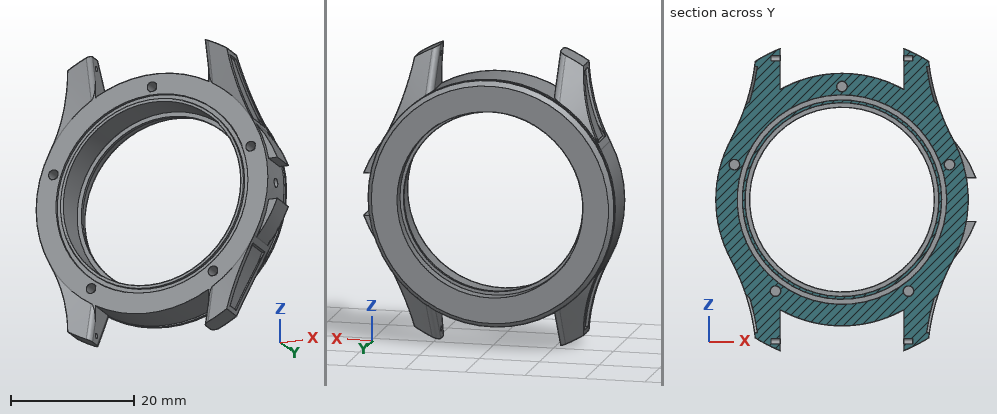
import cadquery as cq
import math

CASE_RADIUS = 20.5
BODY_DEPTH = 6.6
GROOVE_BOTTOM_RADIUS = 20.0
RIM_FRONT = 7.15
RIM_CHAMFER = 0.75
CASE_DEPTH = 8.4

SEAL_GROOVE_OUTER_RADIUS = 17.0
SEAL_GROOVE_INNER_RADIUS = 16.2
SEAL_GROOVE_DEPTH = 0.5
BORE_RADIUS = 15.7
LIP_RADIUS = 14.95
LIP_FRONT = 5.65
LIP_THICKNESS = 0.6
REAR_SEAT_RADIUS = 15.5

LUG_INNER_X = 10.0
LUG_TIP_RADIUS = 26.5
LUG_TIP_FRONT = -1.95
LUG_TIP_BACK = 2.05
LUG_TANGENT_Z = 9.7
LUG_OUTER_TIP_X = 14.1
LUG_EDGE_RADIUS = 0.9
LUG_ROOT_RADIUS = 17.65

POCKET_MARGIN = 0.95
POCKET_DEPTH = 0.45
POCKET_Z_MIN = 10.75
POCKET_Z_MAX = 21.6

BAR_HOLE_RADIUS = 0.4
BAR_HOLE_DEPTH = 1.45
BAR_HOLE_Y = 0.45
BAR_HOLE_Z = 22.95

GUARD_TIP_X = 21.75
GUARD_TIP_Z = 3.55
GUARD_MID = (20.6, 6.0)
GUARD_ROOT_Z = LUG_TANGENT_Z
GUARD_FRONT = 1.05
GUARD_BACK = 5.55
CROWN_HOLE_RADIUS = 0.75
CROWN_HOLE_Y = (GUARD_FRONT + GUARD_BACK) / 2

SCREW_COUNT = 5
SCREW_HOLE_RADIUS = 0.85
SCREW_CIRCLE_RADIUS = 18.35
SCREW_HOLE_DEPTH = 2.95


def turned(profile):
    """Revolve a closed (radius, y) profile about the Y axis."""
    return cq.Workplane("XY").polyline(profile).close().revolve(360, (0, 0, 0), (0, 1, 0))


def height_on_circle(radius, offset):
    """Other coordinate of the point on a circle at the given offset."""
    return math.sqrt(radius**2 - offset**2)


def plan_sketch(y):
    """Workplane in X and Z at level y; it extrudes towards -Y."""
    return cq.Workplane("XZ", origin=(0, y, 0))


def four_corners(solid):
    """Copies of a +X +Z solid in the four quadrants."""
    lower = solid.mirror("XY")
    return [solid, solid.mirror("YZ"), lower, lower.mirror("YZ")]


def make_ring():
    lip_back = LIP_FRONT + LIP_THICKNESS
    return turned([
        (SEAL_GROOVE_OUTER_RADIUS, 0),
        (CASE_RADIUS, 0),
        (CASE_RADIUS, BODY_DEPTH),
        (GROOVE_BOTTOM_RADIUS, BODY_DEPTH),
        (GROOVE_BOTTOM_RADIUS, RIM_FRONT),
        (CASE_RADIUS, RIM_FRONT),
        (CASE_RADIUS, CASE_DEPTH - RIM_CHAMFER),
        (CASE_RADIUS - RIM_CHAMFER, CASE_DEPTH),
        (REAR_SEAT_RADIUS, CASE_DEPTH),
        (REAR_SEAT_RADIUS, lip_back),
        (LIP_RADIUS, lip_back),
        (LIP_RADIUS, LIP_FRONT),
        (BORE_RADIUS, LIP_FRONT),
        (BORE_RADIUS, 0),
        (SEAL_GROOVE_INNER_RADIUS, 0),
        (SEAL_GROOVE_INNER_RADIUS, SEAL_GROOVE_DEPTH),
        (SEAL_GROOVE_OUTER_RADIUS, SEAL_GROOVE_DEPTH),
    ])


def lug_cones(margin=0):
    """Turned blank holding all four lugs, thinned by margin on both faces."""
    return turned([
        (LUG_ROOT_RADIUS, margin),
        (CASE_RADIUS, margin),
        (LUG_TIP_RADIUS, LUG_TIP_FRONT + margin),
        (LUG_TIP_RADIUS, LUG_TIP_BACK - margin),
        (CASE_RADIUS, BODY_DEPTH - margin),
        (LUG_ROOT_RADIUS, BODY_DEPTH - margin),
    ])


def lug_side_arc():
    """Tangent point, tip corner, centre and radius of the concave side arc of a lug.

    The arc touches the ring from outside, so its centre lies on the ring radius
    through the tangent point.
    """
    tangent_point = cq.Vector(height_on_circle(CASE_RADIUS, LUG_TANGENT_Z), LUG_TANGENT_Z)
    corner = cq.Vector(LUG_OUTER_TIP_X, height_on_circle(LUG_TIP_RADIUS, LUG_OUTER_TIP_X))
    outwards = tangent_point.normalized()
    chord = corner - tangent_point
    radius = chord.dot(chord) / (2 * chord.dot(outwards))
    centre = tangent_point + outwards * radius
    return tangent_point, corner, centre, radius


def lug_plan():
    """Plan prism of the +X +Z lug."""
    tangent_point, corner, centre, radius = lug_side_arc()
    chord_middle = (tangent_point + corner) * 0.5
    arc_middle = centre + (chord_middle - centre).normalized() * radius
    return (
        plan_sketch(BODY_DEPTH)
        .moveTo(LUG_INNER_X, LUG_TANGENT_Z)
        .lineTo(tangent_point.x, tangent_point.y)
        .threePointArc((arc_middle.x, arc_middle.y), (corner.x, corner.y))
        .lineTo(LUG_OUTER_TIP_X, LUG_TIP_RADIUS)
        .lineTo(LUG_INNER_X, LUG_TIP_RADIUS)
        .close()
        .extrude(BODY_DEPTH - LUG_TIP_FRONT)
    )


def lug_pocket():
    """Shallow recess in the curved side, with a floor parallel to that side."""
    _, _, centre, radius = lug_side_arc()
    band = (
        plan_sketch(BODY_DEPTH)
        .moveTo(LUG_INNER_X, POCKET_Z_MIN)
        .lineTo(CASE_RADIUS, POCKET_Z_MIN)
        .lineTo(CASE_RADIUS, POCKET_Z_MAX)
        .lineTo(LUG_INNER_X, POCKET_Z_MAX)
        .close()
        .extrude(BODY_DEPTH - LUG_TIP_FRONT)
    )
    floor = (
        plan_sketch(BODY_DEPTH)
        .center(centre.x, centre.y)
        .circle(radius + POCKET_DEPTH)
        .extrude(BODY_DEPTH - LUG_TIP_FRONT)
    )
    return lug_cones(POCKET_MARGIN).intersect(band).intersect(floor)


def bar_hole():
    """Blind spring-bar hole in the inner side of the lug."""
    return (
        cq.Workplane("YZ", origin=(LUG_INNER_X, BAR_HOLE_Y, BAR_HOLE_Z))
        .circle(BAR_HOLE_RADIUS)
        .extrude(BAR_HOLE_DEPTH)
    )


def make_lug():
    return (
        lug_cones()
        .intersect(lug_plan())
        .faces("<X")
        .edges("%HYPERBOLA")
        .fillet(LUG_EDGE_RADIUS)
        .cut(bar_hole())
    )


def make_guards():
    root = (height_on_circle(CASE_RADIUS, GUARD_ROOT_Z), GUARD_ROOT_Z)
    guard = (
        plan_sketch(GUARD_BACK)
        .moveTo(LUG_ROOT_RADIUS, GUARD_TIP_Z)
        .lineTo(GUARD_TIP_X, GUARD_TIP_Z)
        .threePointArc(GUARD_MID, root)
        .close()
        .extrude(GUARD_BACK - GUARD_FRONT)
    )
    return [guard, guard.mirror("XY")]


def screw_holes():
    return (
        cq.Workplane("XZ")
        .polarArray(SCREW_CIRCLE_RADIUS, 90, 360, SCREW_COUNT)
        .circle(SCREW_HOLE_RADIUS)
        .extrude(-SCREW_HOLE_DEPTH)
    )


def crown_hole():
    """Radial hole through the +X wall, between the guards."""
    return (
        cq.Workplane("YZ", origin=(LIP_RADIUS, CROWN_HOLE_Y, 0))
        .circle(CROWN_HOLE_RADIUS)
        .extrude(GUARD_TIP_X - LIP_RADIUS)
    )


case = make_ring()
for lug, pocket in zip(four_corners(make_lug()), four_corners(lug_pocket())):
    case = case.union(lug).cut(pocket)
for guard in make_guards():
    case = case.union(guard)
result = case.cut(screw_holes()).cut(crown_hole())